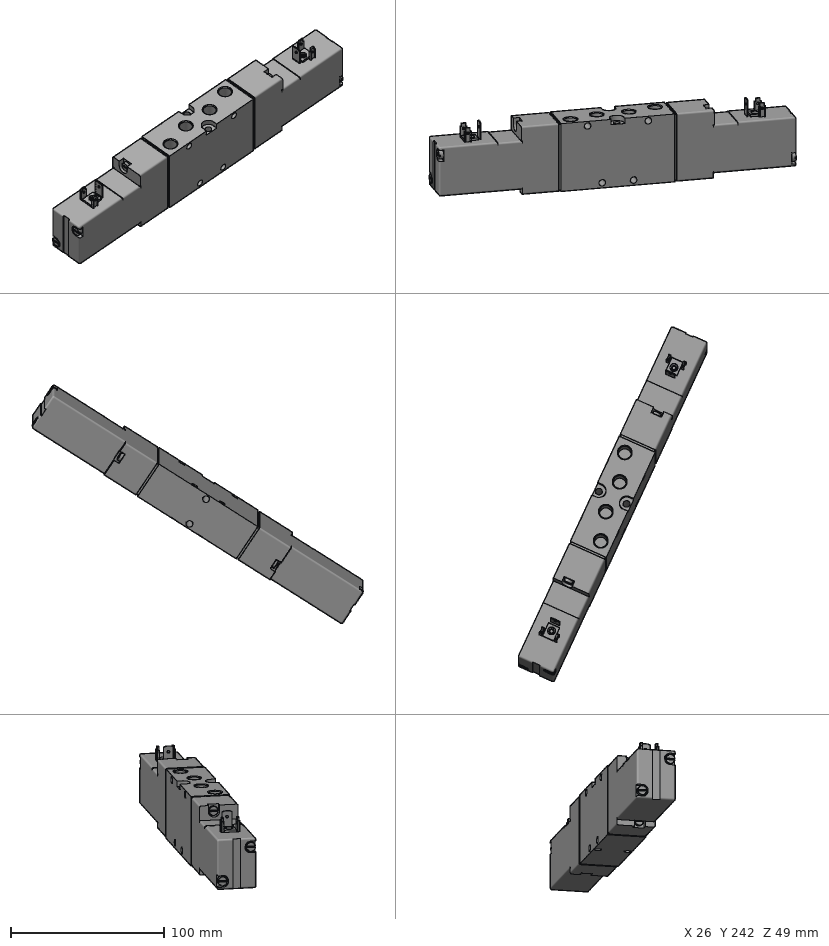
import cadquery as cq

WIDTH = 26.0
LENGTH = 242.0
BODY_HEIGHT = 46.7
OVERALL_HEIGHT = 49.0
END_Y = LENGTH / 2
BODY_END_Y = 38.5
EDGE_RADIUS = 1.2

PORT_DIAMETER = 8.5
PORT_CHAMFER = 0.6
PORT_DEPTH = 9.7
INNER_PORT_Y = 11.0
OUTER_PORT_X = 5.0
OUTER_PORT_Y = 30.0
MOUNT_X = 10.0
MOUNT_DIAMETER = 4.4
MOUNT_SEAT_DIAMETER = 9.2
MOUNT_SEAT_DEPTH = 3.6
CROSS_HOLE_DIAMETER = 4.4
UPPER_CROSS_HOLE_Y = 20.5
UPPER_CROSS_HOLE_Z = 43.5
LOWER_CROSS_HOLE_Y = 10.6
LOWER_CROSS_HOLE_Z = 3.6

NECK_INSET = 0.7
BLOCK_INNER_Y = 40.0
BLOCK_OUTER_Y = 64.5
BLOCK_LIP = 0.7
COIL_INNER_Y = 81.3
COIL_BOTTOM = 3.6
COIL_TOP = 37.3
ADAPTER_DROP = 0.5
ADAPTER_TOP = COIL_TOP - ADAPTER_DROP
COIL_CORNER_RADIUS = 1.3
GROOVE_WIDTH = 5.0
GROOVE_DEPTH = 0.85

SCREW_DIAMETER = 6.0
SCREW_SLOT = 0.85
COIL_RECESS_WIDTH = 7.7
COIL_RECESS_DEPTH = 3.1
COIL_SCREW_X = 9.5
UPPER_COIL_SCREW_Z = 31.5
LOWER_COIL_SCREW_Z = 9.2
BLOCK_RECESS_WIDTH = 7.3
BLOCK_RECESS_DEPTH = 3.9
UPPER_BLOCK_SCREW_X = -3.1
LOWER_BLOCK_SCREW_X = 2.7
BLOCK_SCREW_RISE = 19.0
BLOCK_SCREW_LENGTH = 2.2

PLATE_WIDTH = 8.0
PLATE_INNER_Y = 92.2
PLATE_OUTER_Y = 102.0
PLATE_TOP = 38.7
SOCKET_DIAMETER = 5.0
SOCKET_PIN_HOLE = 2.5
SOCKET_PIN_HOLE_DEPTH = 1.2
SOCKET_PIN_HOLE_MOUTH = 3.1
SOCKET_Y = 96.3
CONTACT_THICKNESS = 0.7
CONTACT_HOLE = 1.6
BLADE_WIDTH = 6.5
BLADE_Y = 90.5
BLADE_TIP_SIDE = 1.5
BLADE_TIP_HEIGHT = 0.7
BLADE_HOLE_Z = 45.0
TAB_INNER_X = 4.5
TAB_WEB_THICKNESS = 1.2
TAB_DEPTH = 1.7
TAB_WIDTH = 4.4
TAB_SHOULDER_Z = 44.5
TAB_TOP = 46.7
TAB_HOLE_Z = 43.0


def box(x0, x1, y0, y1, z0, z1):
    """Box between two corners."""
    size = (x1 - x0, y1 - y0, z1 - z0)
    return cq.Workplane("XY").box(*size, centered=False).translate((x0, y0, z0))


def section(width, near_y, far_y, bottom, top):
    """Box centred on X, between two distances from the middle on the -Y side."""
    return box(-width / 2, width / 2, -far_y, -near_y, bottom, top)


def cylinder_y(diameter, x, z, near_y, far_y):
    """Cylinder along Y, between two distances from the middle on the -Y side."""
    start = cq.Workplane("XZ", origin=(x, -near_y, z))
    return start.circle(diameter / 2).extrude(far_y - near_y)


def make_valve_body():
    body = section(WIDTH, -BODY_END_Y, BODY_END_Y, 0, BODY_HEIGHT)
    top = cq.Workplane("XY", origin=(0, 0, BODY_HEIGHT))

    ports = [
        (-OUTER_PORT_X, OUTER_PORT_Y),
        (0, INNER_PORT_Y),
        (0, -INNER_PORT_Y),
        (OUTER_PORT_X, -OUTER_PORT_Y),
    ]
    mouth = PORT_DIAMETER + 2 * PORT_CHAMFER
    body = body.cut(top.pushPoints(ports).circle(PORT_DIAMETER / 2).extrude(-PORT_DEPTH))
    for x, y in ports:
        rim = cq.Workplane("XY", origin=(x, y, BODY_HEIGHT)).circle(mouth / 2)
        body = body.cut(rim.workplane(offset=-PORT_CHAMFER).circle(PORT_DIAMETER / 2).loft())

    for side in (-1, 1):
        mount = top.center(side * MOUNT_X, 0)
        body = body.cut(mount.circle(MOUNT_DIAMETER / 2).extrude(-BODY_HEIGHT))
        body = body.cut(mount.circle(MOUNT_SEAT_DIAMETER / 2).extrude(-MOUNT_SEAT_DEPTH))
        opening = mount.center(side * MOUNT_X / 2, 0).rect(MOUNT_X, MOUNT_SEAT_DIAMETER)
        body = body.cut(opening.extrude(-MOUNT_SEAT_DEPTH))

    cross_holes = [
        (side * y, z)
        for side in (-1, 1)
        for y, z in (
            (UPPER_CROSS_HOLE_Y, UPPER_CROSS_HOLE_Z),
            (LOWER_CROSS_HOLE_Y, LOWER_CROSS_HOLE_Z),
        )
    ]
    drills = cq.Workplane("YZ").pushPoints(cross_holes).circle(CROSS_HOLE_DIAMETER / 2)
    return body.cut(drills.extrude(WIDTH, both=True))


def make_recess(width, depth, x, z, floor_y, opening_x, opening_z):
    """Round recess along Y, with a straight-walled opening along (opening_x, opening_z)."""
    recess = cylinder_y(width, x, z, floor_y, floor_y + depth)
    opening = section(width, floor_y, floor_y + depth, -width / 2, width / 2)
    opening = opening.translate((x + opening_x * width / 2, 0, z + opening_z * width / 2))
    return recess.union(opening)


def make_screw(x, z, floor_y, length):
    """Screw head standing on a recess floor, with a horizontal driver slot."""
    face_y = floor_y + length
    radius = SCREW_DIAMETER / 2
    head = cylinder_y(SCREW_DIAMETER, x, z, floor_y, face_y)
    slot = box(
        x - radius, x + radius, -face_y, SCREW_SLOT - face_y, z - SCREW_SLOT / 2, z + SCREW_SLOT / 2
    )
    return head.cut(slot)


def make_block():
    """Full-height block next to the valve body, with its neck and two screws."""
    block = section(WIDTH, BLOCK_INNER_Y, BLOCK_OUTER_Y, 0, BODY_HEIGHT)
    lip_y = BLOCK_OUTER_Y + BLOCK_LIP
    block = block.union(section(WIDTH, BLOCK_INNER_Y, lip_y, ADAPTER_TOP, BODY_HEIGHT))
    block = block.edges("|Y").edges("<Z or >Z").fillet(EDGE_RADIUS)
    neck = section(
        WIDTH - 2 * NECK_INSET, BODY_END_Y, BLOCK_INNER_Y, NECK_INSET, BODY_HEIGHT - NECK_INSET
    )
    block = block.union(neck)

    upper_screw = (1, UPPER_BLOCK_SCREW_X, lip_y)
    lower_screw = (-1, LOWER_BLOCK_SCREW_X, BLOCK_OUTER_Y)
    for side, x, outer_y in (upper_screw, lower_screw):
        z = BODY_HEIGHT / 2 + side * BLOCK_SCREW_RISE
        floor_y = outer_y - BLOCK_RECESS_DEPTH
        block = block.cut(make_recess(BLOCK_RECESS_WIDTH, BLOCK_RECESS_DEPTH, x, z, floor_y, 0, side))
        block = block.union(make_screw(x, z, floor_y, BLOCK_SCREW_LENGTH))
    return block


def make_adapter():
    adapter = section(WIDTH, BLOCK_OUTER_Y, COIL_INNER_Y, COIL_BOTTOM, ADAPTER_TOP)
    return adapter.edges("|Y").fillet(EDGE_RADIUS)


def make_coil():
    coil = section(WIDTH, COIL_INNER_Y, END_Y, COIL_BOTTOM, COIL_TOP)
    coil = coil.edges("|Z and <Y").fillet(COIL_CORNER_RADIUS)
    coil = coil.faces("<Z or >Z").edges("not >Y").fillet(EDGE_RADIUS)
    coil = coil.cut(section(GROOVE_WIDTH, END_Y - GROOVE_DEPTH, END_Y, COIL_BOTTOM, COIL_TOP))
    floor_y = END_Y - COIL_RECESS_DEPTH
    for side, z in ((1, UPPER_COIL_SCREW_Z), (-1, LOWER_COIL_SCREW_Z)):
        x = side * COIL_SCREW_X
        coil = coil.cut(make_recess(COIL_RECESS_WIDTH, COIL_RECESS_DEPTH, x, z, floor_y, side, 0))
        coil = coil.union(make_screw(x, z, floor_y, COIL_RECESS_DEPTH))
    return coil


def make_plate():
    plate = section(PLATE_WIDTH, PLATE_INNER_Y, PLATE_OUTER_Y, COIL_TOP, PLATE_TOP)
    socket = cq.Workplane("XY", origin=(0, -SOCKET_Y, COIL_TOP)).circle(SOCKET_DIAMETER / 2)
    return plate.cut(socket.extrude(PLATE_TOP - COIL_TOP))


def make_blade():
    """Flat contact across X with a chamfered tip."""
    half = BLADE_WIDTH / 2
    outline = [
        (-half, COIL_TOP),
        (half, COIL_TOP),
        (half, OVERALL_HEIGHT - BLADE_TIP_HEIGHT),
        (half - BLADE_TIP_SIDE, OVERALL_HEIGHT),
        (BLADE_TIP_SIDE - half, OVERALL_HEIGHT),
        (-half, OVERALL_HEIGHT - BLADE_TIP_HEIGHT),
    ]
    near_y = BLADE_Y - CONTACT_THICKNESS / 2
    far_y = BLADE_Y + CONTACT_THICKNESS / 2
    blade = cq.Workplane("XZ", origin=(0, -near_y, 0)).polyline(outline).close()
    blade = blade.extrude(CONTACT_THICKNESS)
    return blade.cut(cylinder_y(CONTACT_HOLE, 0, BLADE_HOLE_Z, near_y, far_y))


def make_tab(side):
    """Channel-shaped contact beside the plate, its two flanges pointing outwards."""
    web_x = sorted((side * TAB_INNER_X, side * (TAB_INNER_X + TAB_WEB_THICKNESS)))
    tab_x = sorted((side * TAB_INNER_X, side * (TAB_INNER_X + TAB_DEPTH)))
    inner_y = PLATE_OUTER_Y - TAB_WIDTH
    web = box(
        *web_x, CONTACT_THICKNESS - PLATE_OUTER_Y, -inner_y - CONTACT_THICKNESS, COIL_TOP, TAB_TOP
    )
    middle_y = (inner_y + PLATE_OUTER_Y) / 2
    hole = cq.Workplane("YZ").center(-middle_y, TAB_HOLE_Z).circle(CONTACT_HOLE / 2)
    tab = web.cut(hole.extrude(WIDTH, both=True))
    for near_y in (inner_y, PLATE_OUTER_Y - CONTACT_THICKNESS):
        flange = box(*tab_x, -near_y - CONTACT_THICKNESS, -near_y, COIL_TOP, TAB_SHOULDER_Z)
        tab = tab.union(flange)
    return tab


def make_pilot():
    """Solenoid pilot on the -Y end: block, adapter, coil and connector in one piece."""
    pilot = make_block()
    connector = [make_plate(), make_blade(), make_tab(-1), make_tab(1)]
    for piece in (make_adapter(), make_coil(), *connector):
        pilot = pilot.union(piece, clean=False)

    socket_floor = cq.Workplane("XY", origin=(0, -SOCKET_Y, COIL_TOP))
    pin_hole = socket_floor.circle(SOCKET_PIN_HOLE / 2).extrude(-SOCKET_PIN_HOLE_DEPTH)
    mouth = socket_floor.circle(SOCKET_PIN_HOLE_MOUTH / 2)
    mouth_depth = (SOCKET_PIN_HOLE_MOUTH - SOCKET_PIN_HOLE) / 2
    mouth = mouth.workplane(offset=-mouth_depth).circle(SOCKET_PIN_HOLE / 2).loft()
    return pilot.cut(pin_hole, clean=False).cut(mouth, clean=False)


valve_body = make_valve_body()
pilots = [make_pilot().rotate((0, 0, 0), (0, 0, 1), turn) for turn in (0, 180)]

result = cq.Compound.makeCompound([valve_body.val(), *[pilot.val() for pilot in pilots]])